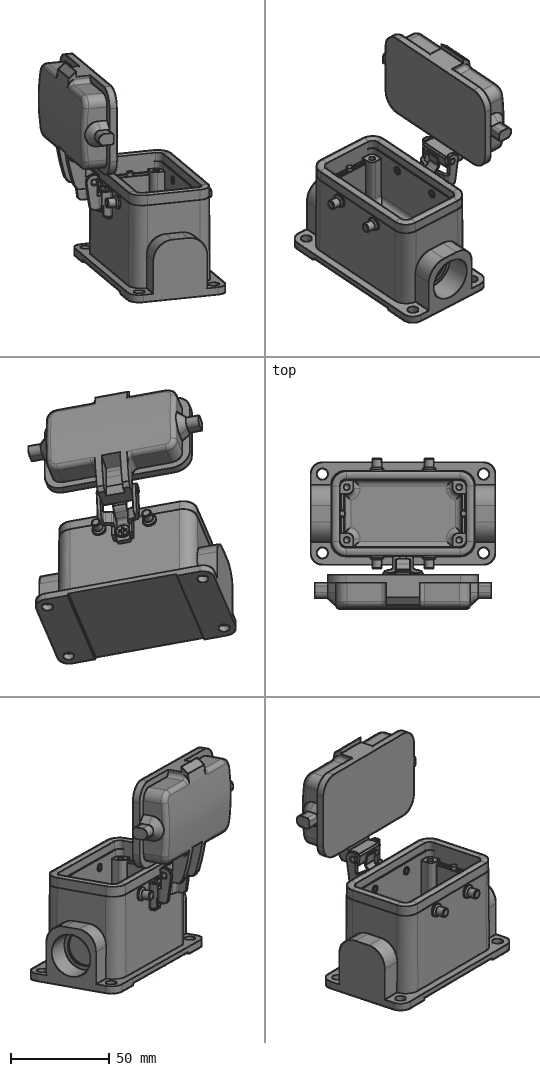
import cadquery as cq
import math

FLANGE_LENGTH = 94.0
FLANGE_WIDTH = 52.2
FLANGE_HEIGHT = 4.0
FLANGE_CORNER = 6.0
MOUNT_HOLE_DIAMETER = 5.6
MOUNT_HOLE_X = 41.0
MOUNT_HOLE_Y = 20.1
UNDERCUT_LENGTH = 56.8
UNDERCUT_DEPTH = 1.1
UNDERCUT_SLOPE = 0.6

BODY_LENGTH = 73.4
BODY_WIDTH = 43.8
BODY_CORNER = 7.8
BODY_DRAFT = 0.4
SHOULDER_Z = 48.0

RIM_LENGTH = 72.5
RIM_WIDTH = 43.0
RIM_CORNER = 7.3
RIM_THICKNESS = 4.1
RIM_EDGE_Z = 53.4
RIM_CROWN = 0.7

RIM_STEP_Z = 48.8
CAVITY_LENGTH = 59.0
CAVITY_WIDTH = 33.7
CAVITY_CORNER = 3.4
CAVITY_FLOOR_Z = 18.8
CAVITY_FLOOR_FILLET = 2.8
POST_TOP_Z = 45.0
POST_INNER_X = 25.3
POST_INNER_Y = 10.0
POST_CORNER = 2.8
POST_FLOOR_FILLET = 3.3
POST_HOLE_DIAMETER = 3.1
POST_HOLE_X = 28.6
POST_HOLE_Y = 13.5
POST_HOLE_DEPTH = 6.8
POST_HOLE_TIP = 0.9
LEDGE_DEPTH = 2.3
LEDGE_RIB_X = 30.8
LEDGE_RIB_WIDTH = 1.4
LEDGE_RIB_HEIGHT = 1.1
LEDGE_RIB_START_Y = 1.8
LEDGE_KEY_DIAMETER = 3.0

ENTRY_WIDTH = 29.1
ENTRY_TOP_Z = 31.8
ENTRY_CORNER = 10.3
ENTRY_BORE_DIAMETER = 22.5
ENTRY_BORE_Z = 16.9
ENTRY_BORE_DEPTH = 13.0
KNOCKOUT_DIAMETER = 18.5
KNOCKOUT_DEPTH = 1.6

STUD_X = 13.28
STUD_Z = 43.9
STUD_TIP_Y = 28.0
STUD_DIAMETER = 4.8
STUD_TIP_DIAMETER = 4.0
STUD_COLLAR_DIAMETER = 7.0
STUD_COLLAR_Y = 22.6
STUD_ROOT_Y = 21.1
STUD_CONE_Y = 23.5
STUD_TAIL_DIAMETER = 3.0
STUD_TAIL_Y = 16.9
STUD_RECESS_DIAMETER = 4.0
STUD_RECESS_DEPTH = 0.5

HINGE_Y = -33.6
HINGE_Z = 54.6
HINGE_PIN_DIAMETER = 3.0
HINGE_PIN_LENGTH = 20.6
HINGE_PIN_DOME = 0.7
ARM_WIDTH = 17.0

SHEET = 1.5
BRACKET_BACK_Y = -21.7
BRACKET_TOP_Z = 47.2
BRACKET_BAND_Z = 39.9
BRACKET_CHANNEL_WIDTH = 10.6
BEND_RADIUS = 0.9
CHANNEL_CORNER = 1.5
CHANNEL_FRONT_Y = -26.7
CHANNEL_BOTTOM_Z = 34.0
CHANNEL_LIP_Y = -24.5
CHANNEL_LIP_Z = 34.5
FLARE_START_Y = -28.3
FLARE_MIDDLE_Y = -29.9
FLARE_MIDDLE_X = 9.1
FLARE_END_Y = -30.8
TONGUE_WIDTH = 7.0
TONGUE_BOTTOM_Z = 32.0
TONGUE_CORNER = 1.1
NOTCH_DIAMETER = 3.3
NOTCH_DEPTH = 2.7
EAR_THICKNESS = 1.8
EAR_BACK_Y = -31.8
EAR_RADIUS = 4.0
EAR_TOE_Y = -35.5
EAR_TOE_RADIUS = 2.3
EAR_SLOT_WIDTH = 3.3

SPRING_THICKNESS = 0.7
SPRING_BEND_Z = 43.3
SPRING_SLOPE_START = (-25.8, 45.9)
SPRING_SLOPE_END = (-28.7, 47.5)
SPRING_BLADE_START = (-30.7, 49.9)
SPRING_KINK = (-29.6, 55.2)
SPRING_TIP = (-28.7, 56.3)
SCREW_Z = 37.6
SCREW_DIAMETER = 7.0
SCREW_HEAD_HEIGHT = 1.4
CROSS_LENGTH = 4.1
CROSS_WIDTH = 1.1
CROSS_DEPTH = 0.8

COVER_Z = 88.0
PLATE_BACK_Y = -31.1
PLATE_THICKNESS = 4.0
PLATE_LENGTH = 76.7
PLATE_HEIGHT = 46.5
PLATE_CORNER = 9.1
DOME_LENGTH = 68.6
DOME_HEIGHT = 39.6
DOME_CORNER = 5.7
DOME_EDGE_RADIUS = 2.7
DOME_BLOCK_DEPTH = 16.0
COVER_FRONT_Y = -48.8
COVER_FRONT_RADIUS = 115.1
ARM_BLEND_RADIUS = 2.4
HOOK_TOP_Z = 114.0
HOOK_BACK_Y = -42.6
HOOK_BASE_Z = 110.8
ARM_BACK_Y = -37.6
ARM_BACK_FILLET = 0.9
ARM_BOTTOM_Z = 51.2
ARM_TOE_Z = 53.7
ARM_TOE_Y = -41.7
KNUCKLE_TOP_Z = 57.7
KNUCKLE_TOP_Y = -31.1
KNUCKLE_BACK_Y = -30.2
KNUCKLE_BACK_Z = 56.8
KNUCKLE_BOTTOM_Y = -31.2
GROOVE_WIDTH = 9.8
GROOVE_FLOOR_Y = -38.2
GROOVE_TOP_Z = 70.9
GROOVE_SHELF_Z = 68.5
GROOVE_FILLET = 1.6
TRUNNION_END_X = 44.9
TRUNNION_HEIGHT = 6.2
TRUNNION_BACK_Y = -35.1
TRUNNION_ROUND_Y = -40.1
TRUNNION_BACK_RADIUS = 1.6
TRUNNION_FLARE_LENGTH = 4.6
TRUNNION_FLARE_ANGLE = 42.0

PLATE_FRONT_Y = PLATE_BACK_Y - PLATE_THICKNESS
PLATE_TOP_Z = COVER_Z + PLATE_HEIGHT / 2
PLATE_BOTTOM_Z = COVER_Z - PLATE_HEIGHT / 2
BRACKET_FACE_Y = BRACKET_BACK_Y - SHEET
SPRING_FACE_Y = BRACKET_FACE_Y - SPRING_THICKNESS
PICK_MARGIN = 0.1
SIDES = (-1, 1)
CORNERS = [(x, y) for x in SIDES for y in SIDES]


def rounded_block(length, width, corner, bottom_z, height, draft=0.0):
    """Upright block with rounded corners, narrowing upwards by the draft angle."""
    outline = cq.Sketch().rect(length, width).vertices().fillet(corner)
    base = cq.Workplane("XY").workplane(offset=bottom_z)
    return base.placeSketch(outline).extrude(height, taper=draft)


def side_profile(points, width):
    """Closed (Y, Z) polygon extruded along X, centred on X = 0."""
    return cq.Workplane("YZ").polyline(points).close().extrude(width / 2, both=True)


def front_arc_y(z):
    """Y of the cover's curved front face at height z."""
    rise = z - COVER_Z
    return COVER_FRONT_Y + COVER_FRONT_RADIUS - math.sqrt(COVER_FRONT_RADIUS**2 - rise**2)


def flange():
    plate = rounded_block(FLANGE_LENGTH, FLANGE_WIDTH, FLANGE_CORNER, 0, FLANGE_HEIGHT)
    holes = (
        cq.Workplane("XY")
        .pushPoints([(x * MOUNT_HOLE_X, y * MOUNT_HOLE_Y) for x, y in CORNERS])
        .circle(MOUNT_HOLE_DIAMETER / 2)
        .extrude(FLANGE_HEIGHT)
    )
    half = UNDERCUT_LENGTH / 2
    undercut = (
        cq.Workplane("XZ")
        .polyline([
            (-half - UNDERCUT_SLOPE, 0),
            (half + UNDERCUT_SLOPE, 0),
            (half, UNDERCUT_DEPTH),
            (-half, UNDERCUT_DEPTH),
        ])
        .close()
        .extrude(FLANGE_WIDTH / 2, both=True)
    )
    return plate.cut(holes).cut(undercut)


def rim():
    """Wall ring above the shoulder, slightly set back from the body."""
    return rounded_block(RIM_LENGTH, RIM_WIDTH, RIM_CORNER, SHOULDER_Z, RIM_EDGE_Z - SHOULDER_Z)


def crown():
    """Convex bead that closes the top of the rim, swept along the rim's centre line."""
    length = RIM_LENGTH - RIM_THICKNESS
    width = RIM_WIDTH - RIM_THICKNESS
    corner = RIM_CORNER - RIM_THICKNESS / 2
    straight_x = length / 2 - corner
    straight_y = width / 2 - corner
    diagonal = corner * math.sqrt(0.5)
    path = (
        cq.Workplane("XY", origin=(0, 0, RIM_EDGE_Z))
        .moveTo(0, -width / 2)
        .lineTo(straight_x, -width / 2)
        .threePointArc((straight_x + diagonal, -straight_y - diagonal), (length / 2, -straight_y))
        .lineTo(length / 2, straight_y)
        .threePointArc((straight_x + diagonal, straight_y + diagonal), (straight_x, width / 2))
        .lineTo(-straight_x, width / 2)
        .threePointArc((-straight_x - diagonal, straight_y + diagonal), (-length / 2, straight_y))
        .lineTo(-length / 2, -straight_y)
        .threePointArc((-straight_x - diagonal, -straight_y - diagonal), (-straight_x, -width / 2))
        .close()
    )
    half = RIM_THICKNESS / 2
    section = (
        cq.Workplane("YZ", origin=(0, -width / 2, RIM_EDGE_Z))
        .moveTo(-half, 0)
        .threePointArc((0, RIM_CROWN), (half, 0))
        .close()
    )
    return section.sweep(path)


def cable_entries():
    height = ENTRY_TOP_Z - UNDERCUT_DEPTH
    return (
        cq.Workplane("YZ", origin=(0, 0, UNDERCUT_DEPTH + height / 2))
        .rect(ENTRY_WIDTH, height)
        .extrude(FLANGE_LENGTH / 2, both=True)
        .edges("|X and >Z")
        .fillet(ENTRY_CORNER)
    )


def entry_bore():
    """Stepped blind bore in the -X entry, closed by a thin knock-out wall."""
    mouth = cq.Workplane("YZ", origin=(-FLANGE_LENGTH / 2, 0, ENTRY_BORE_Z))
    bore = mouth.circle(ENTRY_BORE_DIAMETER / 2).extrude(ENTRY_BORE_DEPTH)
    knockout = mouth.circle(KNOCKOUT_DIAMETER / 2).extrude(ENTRY_BORE_DEPTH + KNOCKOUT_DEPTH)
    return bore.union(knockout)


def corner_posts():
    """Upright blocks that stay standing in the cavity corners, rounded into the floor."""
    size_x = CAVITY_LENGTH / 2
    size_y = CAVITY_WIDTH / 2
    centres = [(x * (POST_INNER_X + size_x / 2), y * (POST_INNER_Y + size_y / 2)) for x, y in CORNERS]
    posts = (
        cq.Workplane("XY", origin=(0, 0, CAVITY_FLOOR_Z))
        .pushPoints(centres)
        .rect(size_x, size_y)
        .extrude(POST_TOP_Z - CAVITY_FLOOR_Z)
        .edges("|Z")
        .fillet(POST_CORNER)
    )
    slab = (
        cq.Workplane("XY", origin=(0, 0, CAVITY_FLOOR_Z))
        .rect(2 * FLANGE_LENGTH, 2 * FLANGE_LENGTH)
        .extrude(-FLANGE_HEIGHT)
    )
    floor_edges = cq.selectors.BoxSelector(
        (-FLANGE_LENGTH + 1.1, -FLANGE_LENGTH + 1.1, CAVITY_FLOOR_Z - PICK_MARGIN),
        (FLANGE_LENGTH - 1.1, FLANGE_LENGTH - 1.1, CAVITY_FLOOR_Z + PICK_MARGIN),
    )
    return posts.union(slab).edges(floor_edges).fillet(POST_FLOOR_FILLET)


def post_holes():
    hole = (
        cq.Workplane("XZ")
        .polyline([
            (0, 0),
            (POST_HOLE_DIAMETER / 2, 0),
            (POST_HOLE_DIAMETER / 2, -POST_HOLE_DEPTH),
            (0, -POST_HOLE_DEPTH - POST_HOLE_TIP),
        ])
        .close()
        .revolve(360, (0, 0), (0, 1))
        .val()
    )
    places = [(x * POST_HOLE_X, y * POST_HOLE_Y, POST_TOP_Z) for x, y in CORNERS]
    return cq.Workplane("XY").newObject([hole.moved(cq.Location(cq.Vector(*p))) for p in places]).combine()


def cavity():
    """Opening inside the rim, a bay above the posts, the pocket between them and the end ledges."""
    opening_length = RIM_LENGTH - 2 * RIM_THICKNESS
    opening_width = RIM_WIDTH - 2 * RIM_THICKNESS
    opening_corner = RIM_CORNER - RIM_THICKNESS
    opening_height = RIM_EDGE_Z + RIM_CROWN - RIM_STEP_Z
    opening = rounded_block(opening_length, opening_width, opening_corner, RIM_STEP_Z, opening_height)
    bay = rounded_block(opening_length, CAVITY_WIDTH, opening_corner, POST_TOP_Z, RIM_STEP_Z - POST_TOP_Z)
    pocket_depth = POST_TOP_Z - CAVITY_FLOOR_Z
    pocket = rounded_block(CAVITY_LENGTH, CAVITY_WIDTH, CAVITY_CORNER, CAVITY_FLOOR_Z, pocket_depth)
    pocket = pocket.faces("<Z").edges().fillet(CAVITY_FLOOR_FILLET).cut(corner_posts())
    ledges = cq.Workplane("XY", origin=(0, 0, POST_TOP_Z - LEDGE_DEPTH / 2)).box(
        opening_length, 2 * POST_INNER_Y, LEDGE_DEPTH
    )
    return opening.union(bay).union(pocket).union(ledges)


def ledge_details():
    """Two low ribs and a round key on the ledge at each end of the cavity."""
    ledge_z = POST_TOP_Z - LEDGE_DEPTH
    rib_length = POST_INNER_Y - LEDGE_RIB_START_Y
    rib_y = LEDGE_RIB_START_Y + rib_length / 2
    ribs = (
        cq.Workplane("XY", origin=(0, 0, ledge_z))
        .pushPoints([(x * LEDGE_RIB_X, y * rib_y) for x, y in CORNERS])
        .rect(LEDGE_RIB_WIDTH, rib_length)
        .extrude(LEDGE_RIB_HEIGHT)
    )
    keys = (
        cq.Workplane("XY", origin=(0, 0, ledge_z))
        .pushPoints([(x * LEDGE_RIB_X, 0) for x in SIDES])
        .circle(LEDGE_KEY_DIAMETER / 2)
        .extrude(LEDGE_DEPTH)
    )
    return ribs.union(keys)


def stud():
    """Locking stud pointing along +Y: thin tail, collar with cone, and chamfered tip."""
    radius = STUD_DIAMETER / 2
    tip_radius = STUD_TIP_DIAMETER / 2
    tail_radius = STUD_TAIL_DIAMETER / 2
    collar_radius = STUD_COLLAR_DIAMETER / 2
    return (
        cq.Workplane("XY")
        .polyline([
            (0, STUD_TAIL_Y),
            (tail_radius, STUD_TAIL_Y),
            (tail_radius, STUD_ROOT_Y),
            (collar_radius, STUD_ROOT_Y),
            (collar_radius, STUD_COLLAR_Y),
            (radius, STUD_CONE_Y),
            (radius, STUD_TIP_Y - radius + tip_radius),
            (tip_radius, STUD_TIP_Y),
            (0, STUD_TIP_Y),
        ])
        .close()
        .revolve(360, (0, 0), (0, 1))
        .val()
    )


def studs():
    pieces = []
    for x in SIDES:
        for turn in (0, 180):
            turned = stud().rotate(cq.Vector(0, 0, 0), cq.Vector(0, 0, 1), turn)
            pieces.append(turned.moved(cq.Location(cq.Vector(x * STUD_X, 0, STUD_Z))))
    return cq.Workplane("XY").newObject(pieces).combine()


def stud_recesses():
    """Shallow recesses round the stud tails on the inside of the long walls."""
    return (
        cq.Workplane("XZ", origin=(0, 0, STUD_Z))
        .pushPoints([(x * STUD_X, 0) for x in SIDES])
        .circle(STUD_RECESS_DIAMETER / 2)
        .extrude(STUD_TAIL_Y + STUD_RECESS_DEPTH, both=True)
    )


def bracket_band():
    """Hat-shaped sheet: channel against the wall, then flared out to the ears."""
    outer_x = BRACKET_CHANNEL_WIDTH / 2
    inner_x = outer_x - SHEET
    ear_outer_x = ARM_WIDTH / 2 + EAR_THICKNESS
    ear_inner_x = ARM_WIDTH / 2
    right = [
        (outer_x, BRACKET_BACK_Y),
        (outer_x, FLARE_START_Y),
        (FLARE_MIDDLE_X, FLARE_MIDDLE_Y + SHEET / 2),
        (ear_outer_x, FLARE_END_Y),
        (ear_outer_x, EAR_BACK_Y),
        (ear_inner_x, EAR_BACK_Y),
        (ear_inner_x, FLARE_END_Y),
        (inner_x, FLARE_MIDDLE_Y),
        (inner_x, BRACKET_FACE_Y),
    ]
    left = [(-x, y) for x, y in reversed(right)]
    return (
        cq.Workplane("XY", origin=(0, 0, BRACKET_BAND_Z))
        .polyline(right + left)
        .close()
        .extrude(BRACKET_TOP_Z - BRACKET_BAND_Z)
        .edges("|Z and (not <Y) and (not >Y)")
        .fillet(BEND_RADIUS)
        .edges("|Z and >Y")
        .fillet(CHANNEL_CORNER)
    )


def bracket_channel():
    """Lower U-shaped part of the bracket with slanted lower lips."""
    solid = side_profile(
        [
            (BRACKET_BACK_Y, BRACKET_TOP_Z),
            (CHANNEL_FRONT_Y, BRACKET_TOP_Z),
            (CHANNEL_FRONT_Y, CHANNEL_LIP_Z),
            (CHANNEL_LIP_Y, CHANNEL_BOTTOM_Z),
            (BRACKET_BACK_Y, CHANNEL_BOTTOM_Z),
        ],
        BRACKET_CHANNEL_WIDTH,
    )
    solid = solid.edges("|Z and >Y").fillet(CHANNEL_CORNER)
    inside = side_profile(
        [
            (BRACKET_FACE_Y, BRACKET_TOP_Z),
            (CHANNEL_FRONT_Y, BRACKET_TOP_Z),
            (CHANNEL_FRONT_Y, CHANNEL_BOTTOM_Z),
            (BRACKET_FACE_Y, CHANNEL_BOTTOM_Z),
        ],
        BRACKET_CHANNEL_WIDTH - 2 * SHEET,
    )
    return solid.cut(inside)


def tongue(back_y, thickness, top_z):
    """Plate on the wall with rounded lower corners."""
    height = top_z - TONGUE_BOTTOM_Z
    return (
        cq.Workplane("XZ", origin=(0, back_y, TONGUE_BOTTOM_Z + height / 2))
        .rect(TONGUE_WIDTH, height)
        .extrude(thickness)
        .edges("|Y and <Z")
        .fillet(TONGUE_CORNER)
    )


def bracket_ears():
    """Two hooked ears whose slots, open towards the housing, hold the hinge pin."""
    top_rise = math.sqrt(EAR_RADIUS**2 - (EAR_BACK_Y - HINGE_Y) ** 2)
    slot_radius = EAR_SLOT_WIDTH / 2
    ear = (
        cq.Workplane("YZ")
        .moveTo(EAR_BACK_Y, BRACKET_BAND_Z)
        .lineTo(EAR_TOE_Y, BRACKET_BAND_Z)
        .lineTo(HINGE_Y - EAR_RADIUS, HINGE_Z)
        .threePointArc((HINGE_Y, HINGE_Z + EAR_RADIUS), (EAR_BACK_Y, HINGE_Z + top_rise))
        .close()
        .extrude(EAR_THICKNESS)
        .edges(cq.selectors.NearestToPointSelector((EAR_THICKNESS / 2, EAR_TOE_Y, BRACKET_BAND_Z)))
        .fillet(EAR_TOE_RADIUS)
    )
    slot = (
        cq.Workplane("YZ")
        .moveTo(EAR_BACK_Y, HINGE_Z - slot_radius)
        .lineTo(HINGE_Y, HINGE_Z - slot_radius)
        .threePointArc((HINGE_Y - slot_radius, HINGE_Z), (HINGE_Y, HINGE_Z + slot_radius))
        .lineTo(EAR_BACK_Y, HINGE_Z + slot_radius)
        .close()
        .extrude(EAR_THICKNESS)
    )
    right = ear.cut(slot).translate((ARM_WIDTH / 2, 0, 0))
    return right.union(right.mirror("YZ"))


def bracket():
    bent_sheet = bracket_band().union(bracket_channel())
    bent_sheet = bent_sheet.union(tongue(BRACKET_BACK_Y, SHEET, BRACKET_TOP_Z))
    notch = (
        cq.Workplane("XZ", origin=(0, BRACKET_BACK_Y, BRACKET_TOP_Z))
        .rect(NOTCH_DIAMETER, 2 * NOTCH_DEPTH)
        .extrude(SHEET)
    )
    return bent_sheet.cut(notch).union(bracket_ears())


def spring():
    """Leaf spring: flat on the bracket, bent out and up behind the hinge, with a kinked tip."""
    foot_y = BRACKET_FACE_Y - SPRING_THICKNESS / 2
    path = (
        cq.Workplane("YZ")
        .moveTo(foot_y, TONGUE_BOTTOM_Z + TONGUE_CORNER)
        .lineTo(foot_y, SPRING_BEND_Z)
        .tangentArcPoint(SPRING_SLOPE_START, relative=False)
        .lineTo(*SPRING_SLOPE_END)
        .tangentArcPoint(SPRING_BLADE_START, relative=False)
        .lineTo(*SPRING_KINK)
        .lineTo(*SPRING_TIP)
    )
    section = cq.Workplane("XY", origin=(0, foot_y, TONGUE_BOTTOM_Z + TONGUE_CORNER))
    blade = section.rect(TONGUE_WIDTH, SPRING_THICKNESS).sweep(path, transition="right")
    return blade.union(tongue(BRACKET_FACE_Y, SPRING_THICKNESS, SPRING_BEND_Z))


def screw_head():
    head = (
        cq.Workplane("XZ", origin=(0, SPRING_FACE_Y, SCREW_Z))
        .circle(SCREW_DIAMETER / 2)
        .extrude(SCREW_HEAD_HEIGHT)
    )
    top = cq.Workplane("XZ", origin=(0, SPRING_FACE_Y - SCREW_HEAD_HEIGHT, SCREW_Z))
    for length, height in ((CROSS_LENGTH, CROSS_WIDTH), (CROSS_WIDTH, CROSS_LENGTH)):
        head = head.cut(top.rect(length, height).extrude(-CROSS_DEPTH))
    return head


def housing():
    body = rounded_block(
        BODY_LENGTH, BODY_WIDTH, BODY_CORNER, FLANGE_HEIGHT, SHOULDER_Z - FLANGE_HEIGHT, BODY_DRAFT
    )
    shell = flange().union(body).union(cable_entries()).union(rim()).union(crown())
    shell = shell.cut(cavity()).cut(post_holes()).cut(stud_recesses()).cut(entry_bore())
    shell = shell.union(ledge_details()).union(studs())
    return shell.union(bracket()).union(spring()).union(screw_head())


def cover_plate():
    return (
        cq.Workplane("XZ", origin=(0, PLATE_BACK_Y, COVER_Z))
        .rect(PLATE_LENGTH, PLATE_HEIGHT)
        .extrude(PLATE_THICKNESS)
        .edges("|Y")
        .fillet(PLATE_CORNER)
    )


def front_cutter():
    """Cylinder about X whose surface is the cover's curved front."""
    return (
        cq.Workplane("YZ", origin=(0, COVER_FRONT_Y + COVER_FRONT_RADIUS, COVER_Z))
        .circle(COVER_FRONT_RADIUS)
        .extrude(PLATE_LENGTH / 2, both=True)
    )


def dome():
    """Raised middle, blended into stubs of the arm and rounded along its front edge."""
    half_x = DOME_LENGTH / 2
    half_z = DOME_HEIGHT / 2
    arm_x = ARM_WIDTH / 2
    stub_z = PLATE_HEIGHT / 2
    upper = [(arm_x, half_z), (arm_x, stub_z), (-arm_x, stub_z), (-arm_x, half_z)]
    lower = [(-x, -z) for x, z in upper]
    corners = [(half_x, half_z), (-half_x, half_z), (-half_x, -half_z), (half_x, -half_z)]
    outline = corners[:1] + upper + corners[1:3] + lower + corners[3:]
    inner_edges = cq.selectors.BoxSelector(
        (-arm_x - PICK_MARGIN, PLATE_FRONT_Y - DOME_BLOCK_DEPTH, COVER_Z - half_z - PICK_MARGIN),
        (arm_x + PICK_MARGIN, PLATE_FRONT_Y, COVER_Z + half_z + PICK_MARGIN),
    )
    outer_edges = cq.selectors.BoxSelector(
        (-half_x - 1.1, PLATE_FRONT_Y - DOME_BLOCK_DEPTH, COVER_Z - half_z - PICK_MARGIN),
        (half_x + 1.1, PLATE_FRONT_Y, COVER_Z + half_z + PICK_MARGIN),
    )
    block = (
        cq.Workplane("XZ", origin=(0, PLATE_FRONT_Y, COVER_Z))
        .polyline(outline)
        .close()
        .extrude(DOME_BLOCK_DEPTH)
    )
    block = block.edges("|Y").edges(inner_edges).fillet(ARM_BLEND_RADIUS)
    block = block.edges("|Y").edges(outer_edges - inner_edges).fillet(DOME_CORNER)
    return block.intersect(front_cutter()).faces("<Y").edges().fillet(DOME_EDGE_RADIUS)


def arm():
    """Central strip: latch hook on top, web over the dome, hinge arm and knuckle below."""
    hook_base_y = front_arc_y(HOOK_BASE_Z)
    toe_y = front_arc_y(ARM_TOE_Z)
    strip = (
        cq.Workplane("YZ")
        .moveTo(PLATE_FRONT_Y, PLATE_TOP_Z)
        .lineTo(HOOK_BACK_Y, PLATE_TOP_Z)
        .lineTo(HOOK_BACK_Y, HOOK_TOP_Z)
        .lineTo(hook_base_y, HOOK_BASE_Z)
        .threePointArc((COVER_FRONT_Y, COVER_Z), (toe_y, ARM_TOE_Z))
        .lineTo(ARM_TOE_Y, ARM_BOTTOM_Z)
        .lineTo(KNUCKLE_BOTTOM_Y, ARM_BOTTOM_Z)
        .lineTo(KNUCKLE_BACK_Y, KNUCKLE_BACK_Z)
        .lineTo(KNUCKLE_TOP_Y, KNUCKLE_TOP_Z)
        .lineTo(ARM_BACK_Y, KNUCKLE_TOP_Z)
        .lineTo(ARM_BACK_Y, PLATE_BOTTOM_Z)
        .lineTo(PLATE_FRONT_Y, PLATE_BOTTOM_Z)
        .close()
        .extrude(ARM_WIDTH / 2, both=True)
    )
    inner_corner = cq.selectors.NearestToPointSelector((0, ARM_BACK_Y, PLATE_BOTTOM_Z))
    return strip.edges(inner_corner).fillet(ARM_BACK_FILLET)


def arm_groove():
    groove = side_profile(
        [
            (GROOVE_FLOOR_Y, ARM_BOTTOM_Z),
            (GROOVE_FLOOR_Y, GROOVE_SHELF_Z),
            (COVER_FRONT_Y, GROOVE_TOP_Z),
            (COVER_FRONT_Y, ARM_BOTTOM_Z),
        ],
        GROOVE_WIDTH,
    )
    floor_corner = cq.selectors.NearestToPointSelector((0, GROOVE_FLOOR_Y, GROOVE_SHELF_Z))
    return groove.edges(floor_corner).fillet(GROOVE_FILLET)


def hinge_pin():
    radius = HINGE_PIN_DIAMETER / 2
    half = HINGE_PIN_LENGTH / 2
    sphere_radius = (radius**2 + HINGE_PIN_DOME**2) / (2 * HINGE_PIN_DOME)
    middle_x = half + HINGE_PIN_DOME - sphere_radius + math.sqrt(sphere_radius**2 - (radius / 2) ** 2)
    return (
        cq.Workplane("XY", origin=(0, HINGE_Y, HINGE_Z))
        .moveTo(0, 0)
        .lineTo(0, radius)
        .lineTo(half, radius)
        .threePointArc((middle_x, radius / 2), (half + HINGE_PIN_DOME, 0))
        .close()
        .revolve(360, (0, 0), (1, 0))
    )


def trunnion():
    """Stub on the +X end with a half-round front, flaring into the dome."""
    flare_x = PLATE_LENGTH / 2
    radius = TRUNNION_HEIGHT / 2
    back_y = TRUNNION_BACK_Y
    depth = back_y - TRUNNION_ROUND_Y
    outline = (
        cq.Sketch()
        .rect(depth, TRUNNION_HEIGHT)
        .push([(-depth / 2, 0)])
        .circle(radius)
        .clean()
    )
    middle_y = back_y - depth / 2
    root = cq.Workplane("YZ", origin=(flare_x, middle_y, COVER_Z)).placeSketch(outline)
    stub = root.extrude(TRUNNION_END_X - flare_x)
    stub = stub.edges("|X and >Y").fillet(TRUNNION_BACK_RADIUS)
    flare = root.extrude(-TRUNNION_FLARE_LENGTH, taper=-TRUNNION_FLARE_ANGLE)
    return stub.union(flare.cut(behind_plate()))


def behind_plate():
    """Space behind the cover plate's back face."""
    return cq.Workplane("XY", origin=(0, PLATE_BACK_Y + PLATE_LENGTH / 2, COVER_Z)).box(
        2 * PLATE_LENGTH, PLATE_LENGTH, PLATE_LENGTH
    )


def cover():
    shell = dome().union(arm())
    shell = shell.union(cover_plate()).cut(arm_groove())
    right = trunnion()
    pin = hinge_pin()
    for part in (right, right.mirror("YZ"), pin, pin.mirror("YZ")):
        shell = shell.union(part)
    return shell


result = cq.Compound.makeCompound([housing().val(), cover().val()])